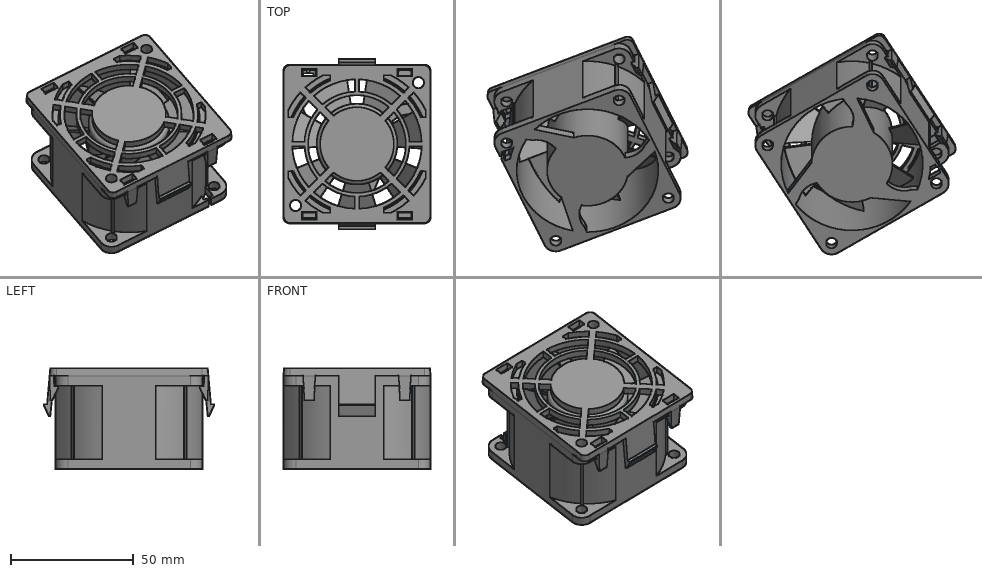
import cadquery as cq
import math

BODY_SIDE = 60.0
BODY_HEIGHT = 38.0
BODY_CORNER_RADIUS = 5.0
FLANGE_THICKNESS = 4.1
BARREL_RADIUS = 31.9
BORE_RADIUS = 28.8
CORNER_RIB_RADIUS = 32.7
CORNER_RIB_WIDTH = 1.05
SCREW_OFFSET = 25.0
SCREW_RADIUS = 2.2

CABLE_X = -19.8
CABLE_POCKET_WIDTH = 4.15
CABLE_POCKET_EDGE = 28.8
CABLE_NECK_WIDTH = 1.3

HUB_RADIUS = 16.45
HUB_TOP = 37.5
HUB_FILLET = 2.1
BLADE_COUNT = 7
BLADE_FIRST_ANGLE = -90.0
BLADE_SPAN_ANGLE = 34.0
BLADE_TIP_RADIUS = 28.45
BLADE_TILT = 45.0
BLADE_THICKNESS = 1.0
BLADE_MID_HEIGHT = 28.8
STRUT_COUNT = 3
STRUT_END_RADIUS = 29.5
STRUT_OUTER_OFFSET = 13.9
STRUT_OUTER_SLOPE = 7.0
STRUT_ROOT = (13.2, 7.65)
STRUT_ARC_MIDDLE = (16.0, 10.5)
STRUT_ARC_END = (23.6, 11.7)

GUARD_LENGTH = 64.7
GUARD_THICKNESS = 3.1
GUARD_CORNER_RADIUS = 2.7
GUARD_TOP = BODY_HEIGHT + GUARD_THICKNESS
DRAFT = 5.0
DISC_RADIUS = 15.0
INNER_OPENING_RADIUS = 19.85
OUTER_OPENING_RADII = (21.4, 26.3)
CORNER_SLOT_RADII = (28.1, 31.2)
CORNER_SLOT_NEAR = 11.0
CORNER_SLOT_FAR = 27.9
DIAGONAL_SPOKE_WIDTH = 2.9
CROSS_SPOKE_WIDTH = 1.75

TAB_X = 19.45
TAB_ROOT_WIDTH = 4.9
TAB_END_WIDTH = 3.95
TAB_END_Z = 28.0
TAB_TIP_Y = 28.9
TAB_TIP_Z = 32.9
TAB_HOOK_Z = 33.75
TAB_HOOK_ROOT_Y = 30.35
TAB_ROOT_Y = (30.55, 32.35)
TAB_END_Y = (31.2, 32.0)
TAB_SLOT_WIDTH = 6.0
TAB_SLOT_DEPTH = 3.1
TAB_SLOT_Y = 29.15

CLIP_WIDTH = 14.9
CLIP_END_Z = 21.5
CLIP_STEP_Z = 26.45
CLIP_TIP_Y = 34.7
CLIP_ROOT_Z = 37.1
CLIP_TIP_Z = 25.95
CLIP_END_Y = (32.0, 32.6)
CLIP_INNER_ROOT_Y = 30.4


def cylinder(radius, bottom, height):
    return cq.Workplane("XY").workplane(offset=bottom).circle(radius).extrude(height)


def ring(inner, outer, bottom, height):
    return cylinder(outer, bottom, height).cut(cylinder(inner, bottom, height))


def block(width, depth, bottom, height, x=0, y=0):
    base = cq.Workplane("XY").workplane(offset=bottom)
    return base.center(x, y).rect(width, depth).extrude(height)


def turned(shape, angle):
    return shape.rotate((0, 0, 0), (0, 0, 1), angle)


def make_housing():
    """Round barrel between two square flanges, with a rib up each corner of the barrel."""
    outline = block(BODY_SIDE, BODY_SIDE, 0, BODY_HEIGHT).edges("|Z").fillet(BODY_CORNER_RADIUS)
    barrel = cylinder(BARREL_RADIUS, 0, BODY_HEIGHT)
    rib = block(2 * CORNER_RIB_RADIUS, CORNER_RIB_WIDTH, 0, BODY_HEIGHT)
    core = barrel.union(turned(rib, 45)).union(turned(rib, -45))
    middle_height = BODY_HEIGHT - 2 * FLANGE_THICKNESS
    middle = block(BODY_SIDE, BODY_SIDE, FLANGE_THICKNESS, middle_height)
    housing = outline.cut(middle.cut(core))
    screws = (
        cq.Workplane("XY")
        .rect(2 * SCREW_OFFSET, 2 * SCREW_OFFSET, forConstruction=True)
        .vertices()
        .circle(SCREW_RADIUS)
        .extrude(BODY_HEIGHT)
    )
    half_side = BODY_SIDE / 2
    pocket = block(CABLE_POCKET_WIDTH, CABLE_POCKET_EDGE, 0, BODY_HEIGHT, CABLE_X, CABLE_POCKET_EDGE / 2)
    neck = block(CABLE_NECK_WIDTH, half_side, 0, BODY_HEIGHT, CABLE_X, half_side / 2)
    cable = pocket.union(neck).cut(barrel)
    return housing.cut(cylinder(BORE_RADIUS, 0, BODY_HEIGHT)).cut(screws).cut(cable)


def make_blade():
    """One flat blade along +X, trimmed to a sector of the annulus around the hub."""
    slab = cq.Workplane("XY").box(BLADE_TIP_RADIUS, 2 * BLADE_TIP_RADIUS, BLADE_THICKNESS)
    slab = slab.rotate((0, 0, 0), (1, 0, 0), BLADE_TILT)
    slab = slab.translate((BLADE_TIP_RADIUS, 0, BLADE_MID_HEIGHT))
    half = math.radians(BLADE_SPAN_ANGLE / 2)
    reach = 2 * BLADE_TIP_RADIUS
    edge_x = reach * math.cos(half)
    edge_y = reach * math.sin(half)
    sector = cq.Workplane("XY").polyline([(0, 0), (edge_x, -edge_y), (edge_x, edge_y)]).close()
    sector = sector.extrude(BODY_HEIGHT)
    root_radius = HUB_RADIUS - BLADE_THICKNESS
    return slab.intersect(sector).intersect(ring(root_radius, BLADE_TIP_RADIUS, 0, BODY_HEIGHT))


def make_rotor():
    rotor = cylinder(HUB_RADIUS, 0, HUB_TOP).faces(">Z").edges().fillet(HUB_FILLET)
    blade = make_blade()
    for index in range(BLADE_COUNT):
        rotor = rotor.union(turned(blade, BLADE_FIRST_ANGLE + index * 360 / BLADE_COUNT))
    return rotor


def make_struts():
    """Offset arms that carry the hub from the bottom of the bore, each widening toward the hub."""
    outer_rise = STRUT_END_RADIUS * math.tan(math.radians(STRUT_OUTER_SLOPE))
    arm = (
        cq.Workplane("XY")
        .moveTo(0, STRUT_OUTER_OFFSET)
        .lineTo(STRUT_END_RADIUS, STRUT_OUTER_OFFSET + outer_rise)
        .lineTo(STRUT_END_RADIUS, STRUT_ARC_END[1])
        .lineTo(*STRUT_ARC_END)
        .threePointArc(STRUT_ARC_MIDDLE, STRUT_ROOT)
        .lineTo(0, STRUT_ROOT[1])
        .close()
        .extrude(FLANGE_THICKNESS)
        .intersect(cylinder(STRUT_END_RADIUS, 0, FLANGE_THICKNESS))
    )
    struts = cq.Workplane("XY")
    for index in range(STRUT_COUNT):
        struts = struts.add(turned(arm, index * 360 / STRUT_COUNT))
    return struts.combine()


def make_guard_plate():
    """Drafted plate with a solid center disc, ring openings, corner slots and spokes."""
    plate = (
        cq.Workplane("XY")
        .workplane(offset=BODY_HEIGHT)
        .sketch()
        .rect(BODY_SIDE, GUARD_LENGTH)
        .vertices()
        .fillet(GUARD_CORNER_RADIUS)
        .finalize()
        .extrude(GUARD_THICKNESS, taper=DRAFT)
    )

    def bar(width, angle):
        return turned(block(2 * GUARD_LENGTH, width, BODY_HEIGHT, GUARD_THICKNESS), angle)

    def band(inner, outer):
        return ring(inner, outer, BODY_HEIGHT, GUARD_THICKNESS)

    diagonals = bar(DIAGONAL_SPOKE_WIDTH, 45).union(bar(DIAGONAL_SPOKE_WIDTH, -45))
    crosses = bar(CROSS_SPOKE_WIDTH, 0).union(bar(CROSS_SPOKE_WIDTH, 90))
    corner_slots = (
        band(*CORNER_SLOT_RADII)
        .intersect(block(2 * CORNER_SLOT_FAR, 2 * CORNER_SLOT_FAR, BODY_HEIGHT, GUARD_THICKNESS))
        .cut(bar(2 * CORNER_SLOT_NEAR, 0))
        .cut(bar(2 * CORNER_SLOT_NEAR, 90))
    )
    outer_openings = band(*OUTER_OPENING_RADII).cut(crosses)
    openings = band(DISC_RADIUS, INNER_OPENING_RADIUS).union(outer_openings).union(corner_slots)
    plate = plate.cut(openings.cut(diagonals))

    screw = cylinder(SCREW_RADIUS, BODY_HEIGHT, GUARD_THICKNESS)
    for offset in (SCREW_OFFSET, -SCREW_OFFSET):
        plate = plate.cut(screw.translate((offset, offset, 0)))

    tab_slots = (
        cq.Workplane("XY")
        .workplane(offset=GUARD_TOP)
        .rect(2 * TAB_X, 2 * TAB_SLOT_Y, forConstruction=True)
        .vertices()
        .rect(TAB_SLOT_WIDTH, TAB_SLOT_DEPTH)
        .extrude(-GUARD_THICKNESS, taper=DRAFT)
    )
    return plate.cut(tab_slots)


def make_clip():
    """Large outward-hooked clip on the +Y side."""
    root_y = GUARD_LENGTH / 2
    step_y = root_y + (BODY_HEIGHT - CLIP_STEP_Z) * math.tan(math.radians(DRAFT))
    profile = [
        (root_y, BODY_HEIGHT),
        (step_y, CLIP_STEP_Z),
        (CLIP_TIP_Y, CLIP_STEP_Z),
        (CLIP_TIP_Y, CLIP_TIP_Z),
        (CLIP_END_Y[1], CLIP_END_Z),
        (CLIP_END_Y[0], CLIP_END_Z),
        (CLIP_INNER_ROOT_Y, CLIP_ROOT_Z),
        (BODY_SIDE / 2, CLIP_ROOT_Z),
        (BODY_SIDE / 2, BODY_HEIGHT),
    ]
    return cq.Workplane("YZ").polyline(profile).close().extrude(CLIP_WIDTH / 2, both=True)


def make_tab():
    """Inward-hooked snap tab on the +Y side, narrowing toward its free end."""
    profile = [
        (TAB_ROOT_Y[1], BODY_HEIGHT),
        (TAB_END_Y[1], TAB_END_Z),
        (TAB_END_Y[0], TAB_END_Z),
        (TAB_TIP_Y, TAB_TIP_Z),
        (TAB_TIP_Y, TAB_HOOK_Z),
        (TAB_HOOK_ROOT_Y, TAB_HOOK_Z),
        (TAB_ROOT_Y[0], BODY_HEIGHT),
    ]
    front = [
        (-TAB_ROOT_WIDTH / 2, BODY_HEIGHT),
        (TAB_ROOT_WIDTH / 2, BODY_HEIGHT),
        (TAB_END_WIDTH / 2, TAB_END_Z),
        (-TAB_END_WIDTH / 2, TAB_END_Z),
    ]
    hook = cq.Workplane("YZ").polyline(profile).close().extrude(TAB_ROOT_WIDTH, both=True)
    taper = cq.Workplane("XZ").polyline(front).close().extrude(-GUARD_LENGTH)
    return hook.intersect(taper)


def make_guard():
    guard = make_guard_plate()
    tab = make_tab()
    fittings = [make_clip(), tab.translate((TAB_X, 0, 0)), tab.translate((-TAB_X, 0, 0))]
    for fitting in fittings:
        guard = guard.union(fitting).union(fitting.mirror("XZ"))
    return guard


result = make_housing().union(make_struts()).union(make_rotor()).union(make_guard())